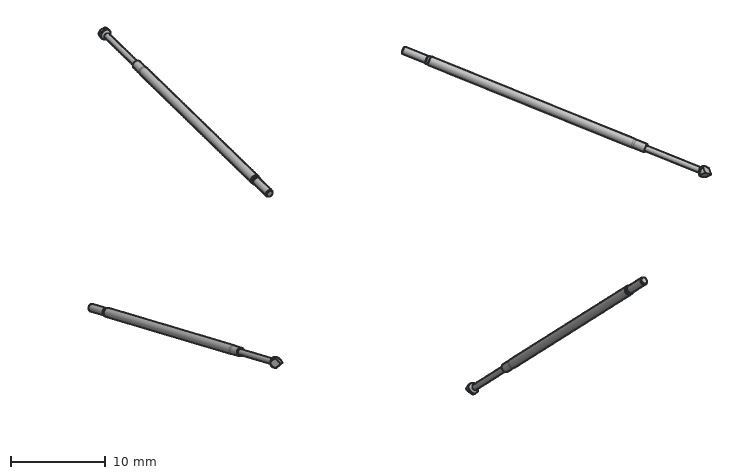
import cadquery as cq

TOTAL_LENGTH = 35.81
TIP_X = 0.0
END_X = TIP_X + TOTAL_LENGTH

HEAD_RADIUS = 0.595
HEAD_BACK_X = 1.12
HEAD_NECK_X = 1.35
FACET_COUNT = 3
FACET_ANGLE = 30.0
FIRST_FACET_TURN = -90.0

PLUNGER_RADIUS = 0.325

BARREL_RADIUS = 0.51
COLLAR_RADIUS = 0.48
FRONT_COLLAR_START_X = 7.6
FRONT_COLLAR_END_X = 8.9
BARREL_START_X = 9.1
BARREL_END_X = 32.65
REAR_COLLAR_START_X = 32.72
REAR_COLLAR_END_X = 32.97

TAIL_START_X = 33.05
TAIL_RADIUS = 0.43
TAIL_CHAMFER = 0.1


def turned_body():
    """Revolve the stepped half profile, given as (x, radius) corners, about the X axis."""
    profile = [
        (TIP_X, 0),
        (TIP_X, HEAD_RADIUS),
        (HEAD_BACK_X, HEAD_RADIUS),
        (HEAD_NECK_X, PLUNGER_RADIUS),
        (FRONT_COLLAR_START_X, PLUNGER_RADIUS),
        (FRONT_COLLAR_START_X, COLLAR_RADIUS),
        (FRONT_COLLAR_END_X, COLLAR_RADIUS),
        (BARREL_START_X, BARREL_RADIUS),
        (BARREL_END_X, BARREL_RADIUS),
        (REAR_COLLAR_START_X, COLLAR_RADIUS),
        (REAR_COLLAR_END_X, COLLAR_RADIUS),
        (TAIL_START_X, TAIL_RADIUS),
        (END_X - TAIL_CHAMFER, TAIL_RADIUS),
        (END_X, TAIL_RADIUS - TAIL_CHAMFER),
        (END_X, 0),
    ]
    return cq.Workplane("XZ").polyline(profile).close().revolve(360, (0, 0, 0), (1, 0, 0))


def facet_cutter(turn):
    """Block whose lower face passes through the tip and slopes back at the facet angle."""
    width = 4 * HEAD_RADIUS
    length = 2 * width
    block = cq.Workplane("XY").box(length, width, width, centered=(True, True, False))
    block = block.rotate((0, 0, 0), (0, 1, 0), -FACET_ANGLE)
    block = block.rotate((0, 0, 0), (1, 0, 0), turn)
    return block.translate((TIP_X, 0, 0))


def cut_point(body):
    """Cut the equally spaced facets that form the pyramid point."""
    for index in range(FACET_COUNT):
        body = body.cut(facet_cutter(FIRST_FACET_TURN + index * 360 / FACET_COUNT))
    return body


result = cut_point(turned_body())